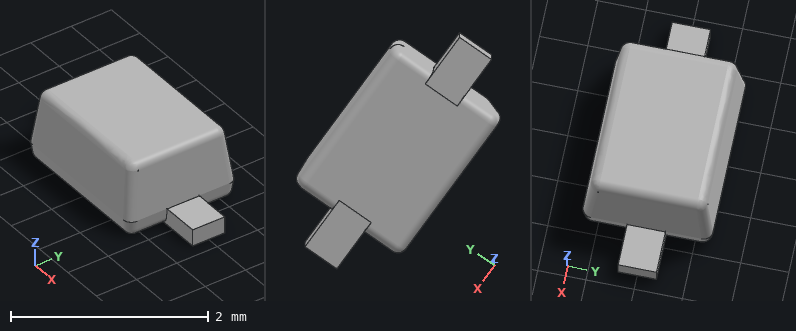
import cadquery as cq
import math

total_length = 2.7
housing_length = 1.804
housing_width = 1.35
housing_height = 0.85

parting_height = 0.202
draft_angle = 7.0
edge_radius = 0.1

lead_length = 0.6
lead_width = 0.4
lead_height = parting_height

band_start = 0.448
band_width = 0.18
band_depth = 0.014


def tapered_half(height):
    """One half of the housing, from the parting plane to a flat face; a negative height goes down."""
    inset = abs(height) * math.tan(math.radians(draft_angle))
    return (
        cq.Workplane("XY", origin=(0, 0, parting_height))
        .rect(housing_length, housing_width)
        .workplane(offset=height)
        .rect(housing_length - 2 * inset, housing_width - 2 * inset)
        .loft(ruled=True)
    )


def make_lead(side):
    """Straight rectangular lead; side is -1 or 1 along X."""
    center_x = side * (total_length - lead_length) / 2
    return (
        cq.Workplane("XY")
        .box(lead_length, lead_width, lead_height, centered=(True, True, False))
        .translate((center_x, 0, 0))
    )


def make_rounded_body():
    """Molded body with every edge rounded except the edges in the parting plane."""
    upper = tapered_half(housing_height - parting_height)
    lower = tapered_half(-parting_height)
    body = upper.union(lower)
    in_parting_plane = cq.selectors.CenterNthSelector(cq.Vector(0, 0, 1), 2)
    return body.edges(cq.selectors.InverseSelector(in_parting_plane)).fillet(edge_radius)


def outline_band(body):
    """Outline the polarity band on the flat top, flush with it and part of the same solid."""
    flat_top = body.faces(">Z").val().BoundingBox()
    band = (
        cq.Workplane("XY")
        .box(band_width, flat_top.ylen, band_depth, centered=(False, True, False))
        .translate((band_start, 0, housing_height - band_depth))
    )
    return body.cut(band).union(band, clean=False)


def make_housing(leads):
    """Rounded body with its band and a matching recess for each lead."""
    housing = outline_band(make_rounded_body())
    for lead in leads:
        housing = housing.cut(lead, clean=False)
    return housing


leads = [make_lead(side) for side in (-1, 1)]
housing = make_housing(leads)

result = cq.Compound.makeCompound([housing.val(), *[lead.val() for lead in leads]])